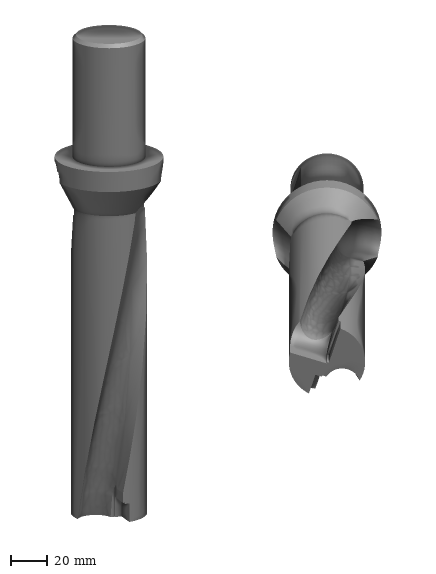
import cadquery as cq
import math

total_length = 275.0
cone_base_z = 176.8
collar_base_z = 193.3
collar_top_z = 204.8

body_radius = 42.0 / 2
collar_radius = 60.0 / 2
shank_radius = 40.0 / 2
shank_chamfer = 2.0

flat_y = 18.0
flat_base_z = 212.2
flat_top_z = 268.0

flute_count = 2
flute_round_radius = 10.2
flute_round_distance = 12.6
flute_wall_angle = 170.3
twist_rate = 0.5675
flute_top_z = 173.2

runout_radius = 29.7
runout_lean_angle = 8.0

pocket_straight_height = 11.5
pocket_curve_radius = 13.2
inner_pocket_x = -0.8
outer_pocket_x = 8.2
seat_depth = 1.0
recess_depth = 3.8
ledge_width = 0.8


def make_blank():
    """Turned body, collar and shank."""
    blank = (
        cq.Workplane("XZ")
        .polyline([
            (0, 0),
            (body_radius, 0),
            (body_radius, cone_base_z),
            (collar_radius, collar_base_z),
            (collar_radius, collar_top_z),
            (shank_radius, collar_top_z),
            (shank_radius, total_length),
            (0, total_length),
        ])
        .close()
        .revolve(360, (0, 0, 0), (0, 1, 0))
    )
    return blank.faces(">Z").chamfer(shank_chamfer)


def make_flat_cutter():
    """Block that removes the clamping flat."""
    return (
        cq.Workplane(origin=(0, flat_y + shank_radius, flat_base_z))
        .rect(2 * shank_radius, 2 * shank_radius)
        .extrude(flat_top_z - flat_base_z)
    )


def groove_profile(outer_end):
    """U-shaped groove section, open toward +X, its radial wall lying on the X axis."""
    width = 2 * flute_round_radius
    return (
        cq.Workplane()
        .moveTo(outer_end, 0)
        .lineTo(flute_round_distance, 0)
        .threePointArc(
            (flute_round_distance - flute_round_radius, -flute_round_radius),
            (flute_round_distance, -width),
        )
        .lineTo(outer_end, -width)
        .close()
    )


def make_groove():
    """Helical part of a flute."""
    twist = twist_rate * flute_top_z
    groove = groove_profile(body_radius + flute_round_radius).twistExtrude(flute_top_z, twist)
    return groove.rotate((0, 0, 0), (0, 0, 1), flute_wall_angle)


def make_runout():
    """Upper end of a flute, turned outward about a horizontal axis."""
    axis_x = flute_round_distance - flute_round_radius + runout_radius
    round_centre = (flute_round_distance, -flute_round_radius)
    top_angle = flute_wall_angle + twist_rate * flute_top_z
    return (
        groove_profile(axis_x)
        .revolve(90, (axis_x, 0, 0), (axis_x, 1, 0))
        .rotate((*round_centre, 0), (*round_centre, 1), runout_lean_angle)
        .translate((0, 0, flute_top_z))
        .rotate((0, 0, 0), (0, 0, 1), top_angle)
    )


def make_pocket(floor_x):
    """Pocket in the +X, -Y quarter with a floor that curves out, plus the seat in its wall."""
    curve_offset = pocket_curve_radius * math.sqrt(0.5)
    curve_centre_x = floor_x + pocket_curve_radius
    ceiling_z = pocket_straight_height + pocket_curve_radius
    outer_x = floor_x + 2 * body_radius
    pocket = (
        cq.Workplane("XZ")
        .moveTo(floor_x, 0)
        .lineTo(floor_x, pocket_straight_height)
        .threePointArc(
            (curve_centre_x - curve_offset, pocket_straight_height + curve_offset),
            (curve_centre_x, ceiling_z),
        )
        .lineTo(outer_x, ceiling_z)
        .lineTo(outer_x, 0)
        .close()
        .extrude(body_radius)
    )
    return pocket.union(make_seat(floor_x + ledge_width, pocket_straight_height, seat_depth))


def make_seat(start_x, height, depth):
    """Box sunk into the pocket wall from start_x outward."""
    return cq.Workplane(origin=(start_x, 0, 0)).box(2 * body_radius, depth, height, centered=False)


def half_turn(shape):
    """Shape turned to the opposite side of the axis."""
    return shape.rotate((0, 0, 0), (0, 0, 1), 180)


result = make_blank().cut(make_flat_cutter())

flute_cutters = (make_groove(), make_runout())
for index in range(flute_count):
    turn = index * 360 / flute_count
    for cutter in flute_cutters:
        result = result.cut(cutter.rotate((0, 0, 0), (0, 0, 1), turn))

outer_recess = make_seat(
    outer_pocket_x + ledge_width,
    pocket_straight_height - ledge_width,
    recess_depth,
)
result = (
    result
    .cut(make_pocket(outer_pocket_x))
    .cut(outer_recess)
    .cut(half_turn(make_pocket(inner_pocket_x)))
)